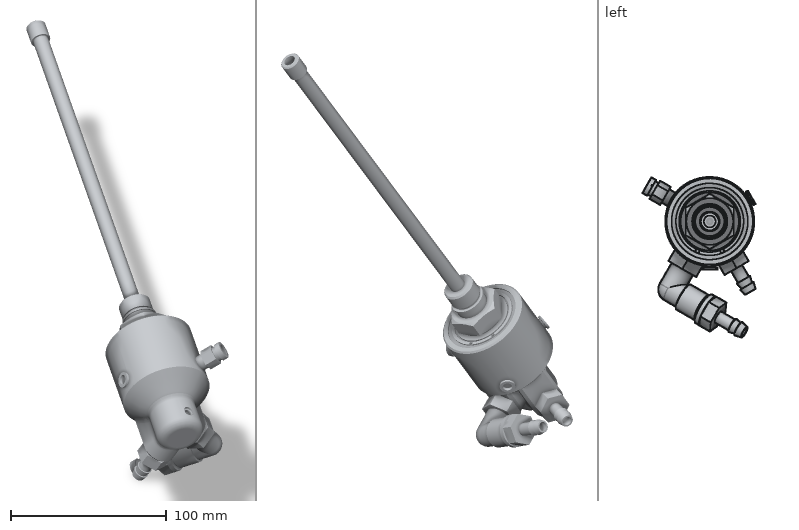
import cadquery as cq
import math


tube_dia = 10.0
tip_dia = 12.8
tip_length = 12.0
tip_chamfer = 0.7
tip_bore_dia = 7.5
tip_bore_depth = tip_length
tube_end_x = 252.5

collar_start_x = 232.7
collar_dia = 20.7
collar_chamfer = 1.0
groove_dia = 18.7
groove_start_x = 243.5
ring_start_x = 245.5
ring_dia = 22.8
ring_width = 1.5
thread_dia = 21.5
nut_start_x = 252.8
nut_end_x = 265.0
nut_across_flats = 30.8
nut_chamfer_radial = 2.8
nut_chamfer_axial = 1.5

housing_start_x = 266.0
housing_end_x = 310.0
housing_dia = 57.5
housing_chamfer = 1.0
spacer_dia = 29.7
face_groove_dias = ((37.5, 39.5), (43.5, 49.0))
face_groove_depth = 1.0
face_hole_dia = 2.5
face_hole_depth = 1.7
face_hole_y = 8.0
face_hole_z = -19.0

cap_start_x = 322.5
cap_end_x = 345.8
cap_dia = 30.5
cap_fillet = 5.5

boss_outer_r = 26.5
boss_width = 21.8
boss_front_x = 301.0
boss_chamfer = 2.0
boss_fillet = 3.5

nipple_x = 334.5
nipple_angle = 240
port_nut_across_flats = 18.0
port_nut_outer_r = 34.5
nipple_tip_r = 52.2

elbow_x = 323.0
elbow_angle = 300
elbow_nut_across_flats = 20.7
elbow_nut_outer_r = 35.3
elbow_dia = 16.0
elbow_corner_r = 50.5
elbow_tilt = 15
swivel_start = 10.0
swivel_dia = 18.7
swivel_end = 24.2
swivel_groove_dia = 16.0
flange_start = 25.5
flange_dia = 21.5
flange_end = 28.7
elbow_tip_nut_end = 36.5
elbow_tip_nut_across_flats = 18.7
elbow_tip_end = 56.7

hose_neck_dia = 8.3
barb_dia = 10.0
hose_tip_dia = 8.0
barb_length = 4.5
barb_count = 2
hose_bore_dia = 6.0
hose_bore_depth = 14.0

fitting_root_r = 14.0
plug_x = 301.5
plug_angle = 30
plug_neck_dia = 10.0
plug_nut_inner_r = 33.0
plug_nut_outer_r = 40.8
plug_nut_across_flats = 11.8
plug_groove_width = 2.5
plug_end_r = 46.7
plug_bore_dia = 7.5
plug_bore_depth = 2.8
screw_angles = (150, 270)
screw_neck_dia = 7.5
screw_head_dia = 10.0
screw_head_inner_r = 29.7
screw_head_outer_r = 31.0
screw_socket_dia = 6.2
screw_socket_depth = 2.0

set_screw_x = 335.8
set_screw_angle = 60
set_screw_dia = 7.0
set_screw_depth = 1.5
set_socket_dia = 4.5
set_socket_depth = 1.7


def radial_direction(angle):
    return cq.Vector(0, math.cos(math.radians(angle)), math.sin(math.radians(angle)))


def radial_plane(x, angle, radius=0.0):
    """Plane facing outwards from the main axis, with its local x along X."""
    outward = radial_direction(angle)
    centre = cq.Vector(x, 0, 0) + outward * radius
    return cq.Plane(origin=centre, xDir=(1, 0, 0), normal=outward)


def cylinder(plane, start, end, diameter):
    return cq.Workplane(plane).workplane(offset=start).circle(diameter / 2).extrude(end - start)


def hexagon(plane, start, end, across_flats, turn=0):
    """Hexagonal prism along the plane normal; turn = 0 puts a corner on the local x axis."""
    across_corners = across_flats / math.cos(math.radians(30))
    base = cq.Workplane(plane).workplane(offset=start).transformed(rotate=(0, 0, turn))
    return base.polygon(6, across_corners).extrude(end - start)


def revolve_about_x(profile):
    return cq.Workplane("XY").polyline(profile).close().revolve(360, (0, 0, 0), (1, 0, 0))


def hose_end(plane, start, end):
    """Smooth neck followed by tapering barbs, bored from the tip."""
    points = [(0, start), (hose_neck_dia / 2, start)]
    root_r = hose_neck_dia / 2
    for index in range(barb_count):
        barb_start = end - (barb_count - index) * barb_length
        points.append((root_r, barb_start))
        points.append((barb_dia / 2, barb_start))
        root_r = hose_tip_dia / 2
    points += [(root_r, end), (0, end)]
    side_plane = cq.Plane(origin=plane.origin, xDir=plane.xDir, normal=plane.xDir.cross(plane.zDir))
    body = cq.Workplane(side_plane).polyline(points).close().revolve(360, (0, 0, 0), (0, 1, 0))
    return body.cut(cylinder(plane, end - hose_bore_depth, end, hose_bore_dia))


def make_probe_tube():
    tip = cq.Workplane("YZ").circle(tip_dia / 2).extrude(tip_length).faces("<X").chamfer(tip_chamfer)
    tube = cq.Workplane("YZ").circle(tube_dia / 2).extrude(tube_end_x)
    bore = cq.Workplane("YZ").circle(tip_bore_dia / 2).extrude(tip_bore_depth)
    return tip.union(tube).cut(bore)


def make_collar():
    collar_r, groove_r = collar_dia / 2, groove_dia / 2
    ring_end_x = ring_start_x + ring_width
    profile = [
        (collar_start_x, 0),
        (collar_start_x, collar_r - collar_chamfer),
        (collar_start_x + collar_chamfer, collar_r),
        (groove_start_x, collar_r),
        (groove_start_x, groove_r),
        (ring_start_x, groove_r),
        (ring_start_x, ring_dia / 2),
        (ring_end_x, ring_dia / 2),
        (ring_end_x, thread_dia / 2),
        (nut_start_x, thread_dia / 2),
        (nut_start_x, 0),
    ]
    nut_plane = cq.Plane(origin=(0, 0, 0), xDir=(0, 0, 1), normal=(1, 0, 0))
    nut = hexagon(nut_plane, nut_start_x, nut_end_x, nut_across_flats)
    nut_corner_r = nut_across_flats / 2 / math.cos(math.radians(30))
    nut_face_r = nut_corner_r - nut_chamfer_radial
    rounding = revolve_about_x(
        [
            (nut_start_x, 0),
            (nut_start_x, nut_face_r),
            (nut_start_x + nut_chamfer_axial, nut_corner_r),
            (nut_end_x - nut_chamfer_axial, nut_corner_r),
            (nut_end_x, nut_face_r),
            (nut_end_x, 0),
        ]
    )
    nut = nut.intersect(rounding)
    spacer = cylinder(nut_plane, nut_end_x, housing_start_x, spacer_dia)
    return revolve_about_x(profile).union(nut).union(spacer)


def make_shell():
    """Housing drum, cone and rounded rear cap."""
    drum_r, cap_r = housing_dia / 2, cap_dia / 2
    shell = (
        cq.Workplane("XY")
        .moveTo(housing_start_x, 0)
        .lineTo(housing_start_x, drum_r - housing_chamfer)
        .lineTo(housing_start_x + housing_chamfer, drum_r)
        .lineTo(housing_end_x, drum_r)
        .lineTo(cap_start_x, cap_r)
        .lineTo(cap_end_x - cap_fillet, cap_r)
        .radiusArc((cap_end_x, cap_r - cap_fillet), cap_fillet)
        .lineTo(cap_end_x, 0)
        .close()
        .revolve(360, (0, 0, 0), (1, 0, 0))
    )
    front_face = cq.Workplane("YZ").workplane(offset=housing_start_x)
    for inner_dia, outer_dia in face_groove_dias:
        groove = front_face.circle(outer_dia / 2).circle(inner_dia / 2).extrude(face_groove_depth)
        shell = shell.cut(groove)
    holes = (
        front_face.pushPoints([(face_hole_y, face_hole_z), (-face_hole_y, face_hole_z)])
        .circle(face_hole_dia / 2)
        .extrude(face_hole_depth)
    )
    return shell.cut(holes)


def make_boss(port_x, angle):
    """Block from the housing to the port, rounded about the port axis at the rear."""
    half_width = boss_width / 2
    return (
        cq.Workplane(radial_plane(port_x, angle))
        .moveTo(boss_front_x - port_x, -half_width)
        .lineTo(0, -half_width)
        .threePointArc((half_width, 0), (0, half_width))
        .lineTo(boss_front_x - port_x, half_width)
        .close()
        .extrude(boss_outer_r)
        .faces(cq.selectors.DirectionMinMaxSelector(radial_direction(angle)))
        .chamfer(boss_chamfer)
    )


def make_shell_with_bosses():
    """Shell and port bosses, filleted round the cap neck and along the flank of the nipple boss."""
    body = make_shell().union(make_boss(nipple_x, nipple_angle))
    junction = cq.selectors.BoxSelector(
        (housing_end_x, -housing_dia / 2, -housing_dia / 4 + boss_chamfer),
        (nipple_x - boss_chamfer, cap_dia / 4, cap_dia / 2),
    )
    body = body.edges(junction).fillet(boss_fillet)
    return body.union(make_boss(elbow_x, elbow_angle))


def make_straight_nipple():
    plane = radial_plane(nipple_x, nipple_angle)
    nut = hexagon(plane, boss_outer_r, port_nut_outer_r, port_nut_across_flats)
    return nut.union(hose_end(plane, port_nut_outer_r, nipple_tip_r))


def make_elbow():
    """Nut, upright leg, ball corner and a tilted leg with swivel, nut and hose end."""
    inlet_plane = radial_plane(elbow_x, elbow_angle)
    nut = hexagon(inlet_plane, boss_outer_r, elbow_nut_outer_r, elbow_nut_across_flats)
    upright = cylinder(inlet_plane, elbow_nut_outer_r, elbow_corner_r, elbow_dia)
    corner = radial_plane(elbow_x, elbow_angle, elbow_corner_r).origin
    ball = cq.Workplane("XY").sphere(elbow_dia / 2).translate(corner)

    tilt = math.radians(elbow_tilt)
    across = radial_direction(elbow_angle - 90)
    outlet = across * math.cos(tilt) - cq.Vector(math.sin(tilt), 0, 0)
    outlet_plane = cq.Plane(origin=corner, xDir=radial_direction(elbow_angle), normal=outlet)
    tilted_leg = (
        cylinder(outlet_plane, 0, swivel_start, elbow_dia)
        .union(cylinder(outlet_plane, swivel_start, swivel_end, swivel_dia))
        .union(cylinder(outlet_plane, swivel_end, flange_start, swivel_groove_dia))
        .union(cylinder(outlet_plane, flange_start, flange_end, flange_dia))
        .union(hexagon(outlet_plane, flange_end, elbow_tip_nut_end, elbow_tip_nut_across_flats))
        .union(hose_end(outlet_plane, elbow_tip_nut_end, elbow_tip_end))
    )
    return nut.union(upright).union(ball).union(tilted_leg)


def make_plug():
    plane = radial_plane(plug_x, plug_angle)
    cap_inner_r = plug_nut_outer_r + plug_groove_width
    bore = cylinder(plane, plug_end_r - plug_bore_depth, plug_end_r, plug_bore_dia)
    return (
        cylinder(plane, fitting_root_r, cap_inner_r, plug_neck_dia)
        .union(hexagon(plane, plug_nut_inner_r, plug_nut_outer_r, plug_nut_across_flats, turn=30))
        .union(cylinder(plane, cap_inner_r, plug_end_r, plug_nut_across_flats))
        .cut(bore)
    )


def make_sealing_screw(angle):
    plane = radial_plane(plug_x, angle)
    socket_floor_r = screw_head_outer_r - screw_socket_depth
    return (
        cylinder(plane, fitting_root_r, screw_head_inner_r, screw_neck_dia)
        .union(cylinder(plane, screw_head_inner_r, screw_head_outer_r, screw_head_dia))
        .cut(cylinder(plane, socket_floor_r, screw_head_outer_r, screw_socket_dia))
    )


def make_set_screw_recess():
    plane = radial_plane(set_screw_x, set_screw_angle)
    seat_r = cap_dia / 2 - set_screw_depth
    seat = cylinder(plane, seat_r, cap_dia, set_screw_dia)
    return seat.union(cylinder(plane, seat_r - set_socket_depth, seat_r, set_socket_dia))


def make_housing(tube):
    """Collar, housing and all fittings as one body, with a socket for the probe tube."""
    body = make_shell_with_bosses().union(make_collar())
    body = body.union(make_straight_nipple()).union(make_elbow()).union(make_plug())
    for angle in screw_angles:
        body = body.union(make_sealing_screw(angle))
    return body.cut(make_set_screw_recess()).cut(tube)


probe_tube = make_probe_tube()
housing = make_housing(probe_tube)

result = cq.Compound.makeCompound([probe_tube.val(), *housing.vals()])